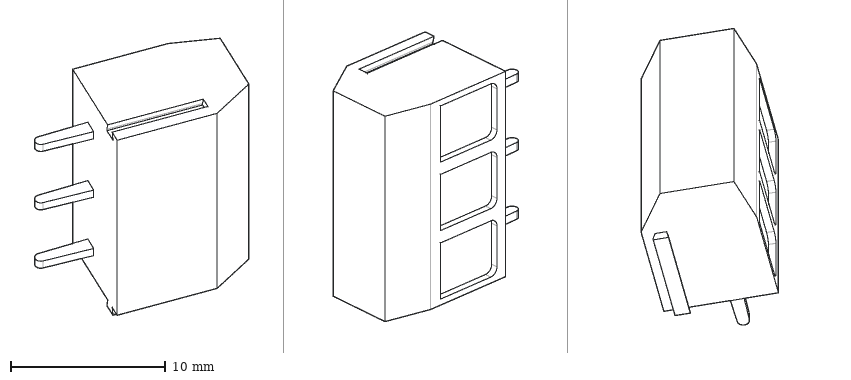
import cadquery as cq

poles = 3
housing_height = 15.0
housing_width = 7.6
housing_depth = 10.0
pitch = housing_height / poles

left_slope_width = 0.8
left_slope_start = 6.7
right_slope_width = 1.9
right_slope_start = 6.99

dovetail_center = 6.35
dovetail_neck_width = 0.78
dovetail_wide_width = 1.01
dovetail_height = 0.6
dovetail_taper = 0.47
dovetail_length = left_slope_start

pocket_start = 0.78
pocket_length = 5.0
pocket_height = 4.1
pocket_depth = 0.5
pocket_corner_radius = 0.554

pin_center = 3.09
pin_drop = 0.28
pin_length = 3.9
pin_root_width = 1.01
pin_tip_width = 0.81
pin_thickness = 0.61


def make_housing():
    outline = [
        (0, 0),
        (housing_width, 0),
        (housing_width, right_slope_start),
        (housing_width - right_slope_width, housing_depth),
        (left_slope_width, housing_depth),
        (0, left_slope_start),
    ]
    return cq.Workplane("XY").polyline(outline).close().extrude(housing_height)


def make_dovetail(neck_z):
    """Bar that widens downward from its neck at neck_z, then drops straight."""
    neck = dovetail_neck_width / 2
    wide = dovetail_wide_width / 2
    taper_z = neck_z - dovetail_taper
    bottom_z = neck_z - dovetail_height
    outline = [
        (dovetail_center - neck, neck_z),
        (dovetail_center + neck, neck_z),
        (dovetail_center + wide, taper_z),
        (dovetail_center + wide, bottom_z),
        (dovetail_center - wide, bottom_z),
        (dovetail_center - wide, taper_z),
    ]
    return cq.Workplane("XZ").polyline(outline).close().extrude(-dovetail_length)


def make_pocket(middle_z):
    """Side pocket with its two front corners rounded."""
    return (
        cq.Workplane("XY")
        .box(pocket_depth, pocket_length, pocket_height, centered=(False, False, True))
        .edges("|X and <Y")
        .fillet(pocket_corner_radius)
        .translate((0, pocket_start, middle_z))
    )


def make_pin(middle_z):
    """Flat tapered pin with a semicircular tip."""
    root = pin_root_width / 2
    tip = pin_tip_width / 2
    tip_start = -(pin_length - tip)
    return (
        cq.Workplane("XY")
        .moveTo(-root, 0)
        .lineTo(-tip, tip_start)
        .threePointArc((0, -pin_length), (tip, tip_start))
        .lineTo(root, 0)
        .close()
        .extrude(pin_thickness / 2, both=True)
        .translate((pin_center, 0, middle_z))
    )


result = make_housing()
result = result.cut(make_dovetail(housing_height))
result = result.union(make_dovetail(0))

for pole in range(poles):
    pole_middle = (pole + 0.5) * pitch
    result = result.cut(make_pocket(pole_middle))
    result = result.union(make_pin(pole_middle - pin_drop))